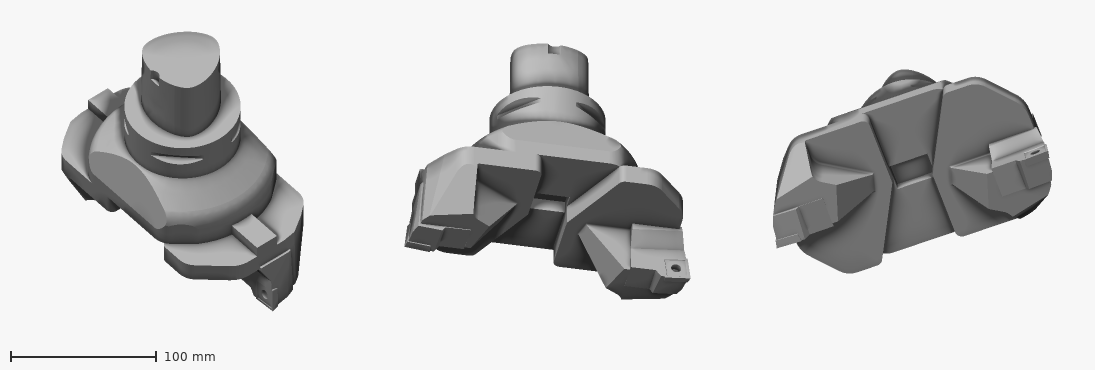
import cadquery as cq
import math


SHANK_TOP = 118.0
NECK_TOP = 70.0
NECK_BOTTOM = 40.0
NECK_RADIUS = 40.0
HOUSING_RADIUS = 64.8
CONE_ANGLE = 35.8
EDGE_RADIUS = 15.0
HALF_WIDTH = 52.0
SIDE_SLOPE = 20.0
SIDE_SLOPE_START = 10.4
CORNER_ANGLE = 40.0
CORNER_FLAT_DISTANCE = 64.0

SHANK_RADIUS_BOTTOM = 27.4
SHANK_RADIUS_TOP = 26.8
SHANK_LOBE = 2.1
LOBE_COUNT = 3
LOBE_TIP_HALF_ANGLE = 34.0
CURVE_STEPS = 8
SHANK_NOTCH_RADIUS = 5.4
SHANK_NOTCH_DEPTH = 8.4
SHANK_NOTCH_CENTER_Y = -27.4

GROOVE_Z = 58.2
GROOVE_FLOOR_WIDTH = 3.4
GROOVE_MOUTH_WIDTH = 8.5
GROOVE_FLOOR_DISTANCE = 35.5
GROOVE_COUNT = 4

KEY_WIDTH = 17.5
KEY_HEIGHT = 8.5
KEYWAY_HEIGHT = 9.0
PLATE_THICKNESS = 14.0
SLIDE_INNER_X = 14.0
SLIDE_OUTER_X = 91.2
SLIDE_CORNER_RADIUS = 15.0
OUTER_CORNER_RADIUS = 20.0
INNER_CORNER_RADIUS = 5.0
CORNER_CHAMFER_ANGLE = 41.5
FRONT_CHAMFER_DISTANCE = 84.0
BACK_CHAMFER_DISTANCE = 86.2
INNER_SLANT_Y = 2.0
INNER_SLANT_END_X = 41.5
WEB_FRONT_Y = 1.0
WEB_BLANK_DEPTH = 40.0
WEB_INNER_X = 18.0
WEB_STEP_X = 59.8
WEB_STEP_Y = 34.8
WEB_STEP_RADIUS = 10.0
WEB_BACK_ANGLE = 32.0
WEB_ROOT_RADIUS = 1.4
WEB_BOTTOM_Z = -48.4
WEB_BOTTOM_RISE = 0.045
SELECT_MARGIN = 0.2
WEB_INNER_FACE = ((28.2, WEB_FRONT_Y, -15.4), (-0.75, -0.21, -0.59))
SLIDE_END_FACE = ((SLIDE_OUTER_X, 15.0, 0), (0.987, 0.161, 0.062))
SLIDE_BLEND_FACE = ((89.4, 26.0, 0), (0.824, 0.566, 0.035))
LOWER_BACK_FACE = ((89.2, 30.0, -47.2), (0.238, 0.971, -0.478))

CARTRIDGE_INNER_X = 58.2
CARTRIDGE_FRONT_Y = -6.4
CARTRIDGE_BACK_Y = 20.4
CARTRIDGE_TOP_Z = -12.0
CARTRIDGE_BOTTOM_Z = -48.0
NOSE_START_X = 75.5
NOSE_X = 79.2
NOSE_Z = -52.8
NOSE_RISE = 0.09
GULLET_BOTTOM = 16.2
GULLET_TOP = 28.2

UPPER_SLOPE_FACE = ((96.5, -0.8, -30.5), (1, 0, 0.2))
MAIN_RELIEF_FACE = ((96.5, -0.8, -30.5), (1, 0.1, 0.1))
BACK_RELIEF_FACE = ((93.2, 17.5, CARTRIDGE_TOP_Z), (1, 0.35, 0.065))
NOSE_FACE = ((NOSE_X, 0, NOSE_Z), (NOSE_RISE, NOSE_RISE, -1))

INSERT_SIZE = 18.2
INSERT_THICKNESS = 5.4
INSERT_CENTER = (90.0, -1.4, -43.8)
INSERT_TILT = 6.0
RAKE_SLOPE = 0.075
RELIEF_ANGLE = 11.0
INSERT_CORNER_RADIUS = 1.0
INSERT_HOLE_DIAMETER = 7.0
CHIPBREAKER_SIZE = 15.0
CHIPBREAKER_DEPTH = 0.4

FAR = 200.0


def unit(angle):
    """Unit direction in the XY plane at an angle in degrees."""
    return math.cos(math.radians(angle)), math.sin(math.radians(angle))


def beyond(point, normal):
    """Everything on the far side of a plane, as a large block to cut with."""
    plane = cq.Plane(origin=point, normal=normal)
    return cq.Workplane(plane).rect(2 * FAR, 2 * FAR).extrude(FAR)


def place(body, angle):
    """Turn a body about the tool axis."""
    return body.rotate((0, 0, 0), (0, 0, 1), angle)


def round_edge(body, point, radius):
    """Fillet the vertical edge at an XY point."""
    middle_z = body.val().Center().z
    nearest = cq.selectors.NearestToPointSelector((*point, middle_z))
    return body.edges("|Z").edges(nearest).fillet(radius)


def meet(angle, distance, x=None, y=None):
    """Point where the line at `distance` along `angle` from the axis has the given X or Y."""
    c, s = unit(angle)
    if y is None:
        return x, (distance - x * c) / s
    return (distance - y * s) / c, y


def shank_point(mean_radius, angle):
    """Point of the three-lobed profile whose outward normal has the given angle."""
    phase = math.radians(LOBE_COUNT * (angle - 90.0))
    reach = mean_radius + SHANK_LOBE * math.cos(phase)
    slide = -LOBE_COUNT * SHANK_LOBE * math.sin(phase)
    c, s = unit(angle)
    return reach * c - slide * s, reach * s + slide * c


def shank_profile(workplane, mean_radius):
    """Closed profile of alternating tip and flank curves."""
    pitch = 360.0 / LOBE_COUNT
    start = 90.0 - LOBE_TIP_HALF_ANGLE
    profile = workplane.moveTo(*shank_point(mean_radius, start))
    for _ in range(LOBE_COUNT):
        for span in (2 * LOBE_TIP_HALF_ANGLE, pitch - 2 * LOBE_TIP_HALF_ANGLE):
            angles = [start + span * i / CURVE_STEPS for i in range(1, CURVE_STEPS + 1)]
            points = [shank_point(mean_radius, angle) for angle in angles]
            profile = profile.spline(points, includeCurrent=True)
            start += span
    return profile.close()


def make_shank():
    lower = shank_profile(cq.Workplane().workplane(offset=NECK_TOP), SHANK_RADIUS_BOTTOM)
    shank = shank_profile(lower.workplane(offset=SHANK_TOP - NECK_TOP), SHANK_RADIUS_TOP).loft(ruled=True)
    notch = (
        cq.Workplane()
        .workplane(offset=SHANK_TOP - SHANK_NOTCH_DEPTH)
        .center(0, SHANK_NOTCH_CENTER_Y)
        .circle(SHANK_NOTCH_RADIUS)
        .extrude(FAR)
    )
    return shank.cut(notch)


def make_housing_blank():
    """Cone and rounded rim, turned about the tool axis."""
    cone_slope = math.tan(math.radians(CONE_ANGLE))
    rim_z = NECK_BOTTOM - (HOUSING_RADIUS - NECK_RADIUS) * cone_slope
    turn = math.radians(90.0 - CONE_ANGLE)
    setback = EDGE_RADIUS * math.tan(turn / 2)
    arc_top = (
        HOUSING_RADIUS - setback * math.cos(math.radians(CONE_ANGLE)),
        rim_z + setback * math.sin(math.radians(CONE_ANGLE)),
    )
    arc_bottom_z = rim_z - setback
    arc_middle = (
        HOUSING_RADIUS - EDGE_RADIUS * (1 - math.cos(turn / 2)),
        arc_bottom_z + EDGE_RADIUS * math.sin(turn / 2),
    )
    return (
        cq.Workplane("XZ")
        .moveTo(0, 0)
        .lineTo(HOUSING_RADIUS, 0)
        .lineTo(HOUSING_RADIUS, arc_bottom_z)
        .threePointArc(arc_middle, arc_top)
        .lineTo(NECK_RADIUS, NECK_BOTTOM)
        .lineTo(0, NECK_BOTTOM)
        .close()
        .revolve()
    )


def make_housing_outline():
    """Plan outline with flat sides, flat corners and round ends."""
    flat_edge = meet(CORNER_ANGLE, CORNER_FLAT_DISTANCE, y=HALF_WIDTH)
    half_chord = math.sqrt(HOUSING_RADIUS**2 - CORNER_FLAT_DISTANCE**2)
    c, s = unit(CORNER_ANGLE)
    end_x = CORNER_FLAT_DISTANCE * c + half_chord * s
    end_y = CORNER_FLAT_DISTANCE * s - half_chord * c
    edge_x = flat_edge[0]
    return (
        cq.Workplane()
        .moveTo(-edge_x, HALF_WIDTH)
        .lineTo(edge_x, HALF_WIDTH)
        .lineTo(end_x, end_y)
        .threePointArc((HOUSING_RADIUS, 0), (end_x, -end_y))
        .lineTo(edge_x, -HALF_WIDTH)
        .lineTo(-edge_x, -HALF_WIDTH)
        .lineTo(-end_x, -end_y)
        .threePointArc((-HOUSING_RADIUS, 0), (-end_x, end_y))
        .close()
        .extrude(NECK_BOTTOM)
        .edges("|Z")
        .fillet(EDGE_RADIUS)
    )


def make_groove():
    """Tapered straight groove across the -X side of the neck."""
    return (
        cq.Workplane("XZ")
        .moveTo(-GROOVE_FLOOR_DISTANCE, GROOVE_Z - GROOVE_FLOOR_WIDTH / 2)
        .lineTo(-GROOVE_FLOOR_DISTANCE, GROOVE_Z + GROOVE_FLOOR_WIDTH / 2)
        .lineTo(-NECK_RADIUS, GROOVE_Z + GROOVE_MOUTH_WIDTH / 2)
        .lineTo(-NECK_RADIUS, GROOVE_Z - GROOVE_MOUTH_WIDTH / 2)
        .close()
        .extrude(NECK_RADIUS, both=True)
    )


def make_housing():
    housing = make_housing_blank().intersect(make_housing_outline())
    slope = math.radians(SIDE_SLOPE)
    for side in (-1, 1):
        start = (0, side * HALF_WIDTH, SIDE_SLOPE_START)
        housing = housing.cut(beyond(start, (0, side * math.cos(slope), math.sin(slope))))
    neck = cq.Workplane().workplane(offset=NECK_BOTTOM).circle(NECK_RADIUS).extrude(NECK_TOP - NECK_BOTTOM)
    for i in range(GROOVE_COUNT):
        neck = neck.cut(place(make_groove(), 360.0 / GROOVE_COUNT * (i + 0.5)))
    keyway = cq.Workplane().rect(FAR, KEY_WIDTH).extrude(KEYWAY_HEIGHT)
    return housing.cut(keyway).union(neck).union(make_shank())


TILT_C, TILT_S = unit(INSERT_TILT)
INSERT_ALONG = (TILT_C, 0, TILT_S)
RAKE_NORMAL = (-RAKE_SLOPE * TILT_S, -1, RAKE_SLOPE * TILT_C)
RAKE_PLANE = cq.Plane(origin=INSERT_CENTER, xDir=INSERT_ALONG, normal=RAKE_NORMAL)


def make_insert_blank():
    """Square insert tapering back from its rake face."""
    shrink = 2 * INSERT_THICKNESS * math.tan(math.radians(RELIEF_ANGLE))
    face = cq.Sketch().rect(INSERT_SIZE, INSERT_SIZE).vertices(">Y").fillet(INSERT_CORNER_RADIUS)
    back_size = INSERT_SIZE - shrink
    back = cq.Sketch().rect(back_size, back_size).vertices(">Y").fillet(INSERT_CORNER_RADIUS)
    back_place = cq.Location(cq.Vector(0, 0, -INSERT_THICKNESS))
    return cq.Workplane(RAKE_PLANE).placeSketch(face, back.moved(back_place)).loft()


def make_insert():
    floor_size = CHIPBREAKER_SIZE - 2 * CHIPBREAKER_DEPTH
    mouth = cq.Sketch().rect(CHIPBREAKER_SIZE, CHIPBREAKER_SIZE)
    floor = cq.Sketch().rect(floor_size, floor_size)
    floor_place = cq.Location(cq.Vector(0, 0, -CHIPBREAKER_DEPTH))
    recess = cq.Workplane(RAKE_PLANE).placeSketch(mouth, floor.moved(floor_place)).loft()
    hole = cq.Workplane(RAKE_PLANE).circle(INSERT_HOLE_DIAMETER / 2).extrude(INSERT_THICKNESS, both=True)
    return make_insert_blank().cut(recess).cut(hole)


def make_gullet():
    """Space in front of the cartridge: the rake face, and a slope out to the front face."""
    plane = cq.Plane(origin=INSERT_CENTER, xDir=(0, 1, 0), normal=INSERT_ALONG)
    rake_y = RAKE_SLOPE * GULLET_BOTTOM
    front_y = CARTRIDGE_FRONT_Y - INSERT_CENTER[1]
    low = -GULLET_TOP
    return (
        cq.Workplane(plane)
        .moveTo(RAKE_SLOPE * low, low)
        .lineTo(rake_y, GULLET_BOTTOM)
        .lineTo(front_y, GULLET_TOP)
        .lineTo(-FAR, GULLET_TOP)
        .lineTo(-FAR, low)
        .close()
        .extrude(FAR, both=True)
    )


def make_cartridge():
    block = (
        cq.Workplane("XZ", origin=(0, CARTRIDGE_FRONT_Y, 0))
        .moveTo(CARTRIDGE_INNER_X, CARTRIDGE_TOP_Z)
        .lineTo(CARTRIDGE_INNER_X, CARTRIDGE_BOTTOM_Z)
        .lineTo(NOSE_START_X, CARTRIDGE_BOTTOM_Z)
        .lineTo(NOSE_X, NOSE_Z)
        .lineTo(FAR, NOSE_Z)
        .lineTo(FAR, CARTRIDGE_TOP_Z)
        .close()
        .extrude(CARTRIDGE_FRONT_Y - CARTRIDGE_BACK_Y)
    )
    for point, normal in (UPPER_SLOPE_FACE, MAIN_RELIEF_FACE, BACK_RELIEF_FACE, NOSE_FACE):
        block = block.cut(beyond(point, normal))
    return block.cut(make_gullet()).cut(make_insert_blank())


def make_plate():
    front_corner = meet(-CORNER_CHAMFER_ANGLE, FRONT_CHAMFER_DISTANCE, x=SLIDE_OUTER_X)
    front_edge = meet(-CORNER_CHAMFER_ANGLE, FRONT_CHAMFER_DISTANCE, y=-HALF_WIDTH)
    back_edge = meet(CORNER_CHAMFER_ANGLE, BACK_CHAMFER_DISTANCE, y=HALF_WIDTH)
    back_corner = meet(CORNER_CHAMFER_ANGLE, BACK_CHAMFER_DISTANCE, x=SLIDE_OUTER_X)
    plate = (
        cq.Workplane()
        .moveTo(SLIDE_INNER_X, HALF_WIDTH)
        .lineTo(SLIDE_INNER_X, INNER_SLANT_Y)
        .lineTo(INNER_SLANT_END_X, -HALF_WIDTH)
        .lineTo(*front_edge)
        .lineTo(*front_corner)
        .lineTo(*back_corner)
        .lineTo(*back_edge)
        .close()
        .extrude(-PLATE_THICKNESS)
    )
    plate = round_edge(plate, (SLIDE_INNER_X, HALF_WIDTH), INNER_CORNER_RADIUS)
    plate = round_edge(plate, (INNER_SLANT_END_X, -HALF_WIDTH), INNER_CORNER_RADIUS)
    plate = round_edge(plate, front_edge, SLIDE_CORNER_RADIUS)
    plate = round_edge(plate, front_corner, OUTER_CORNER_RADIUS)
    return round_edge(plate, back_edge, SLIDE_CORNER_RADIUS)


def make_web():
    """Leg below the plate that carries the cartridge."""
    back_edge = meet(CORNER_CHAMFER_ANGLE, BACK_CHAMFER_DISTANCE, y=HALF_WIDTH)
    outer_end = meet(CORNER_CHAMFER_ANGLE, BACK_CHAMFER_DISTANCE, y=CARTRIDGE_BACK_Y)
    back_slope = math.tan(math.radians(WEB_BACK_ANGLE))
    step_corner = (WEB_STEP_X, WEB_STEP_Y)
    web = (
        cq.Workplane()
        .workplane(offset=-PLATE_THICKNESS)
        .moveTo(WEB_INNER_X, WEB_FRONT_Y)
        .lineTo(WEB_INNER_X, WEB_STEP_Y - (WEB_STEP_X - WEB_INNER_X) * back_slope)
        .lineTo(*step_corner)
        .lineTo(WEB_STEP_X, HALF_WIDTH)
        .lineTo(*back_edge)
        .lineTo(*outer_end)
        .lineTo(outer_end[0], WEB_FRONT_Y)
        .close()
        .extrude(-WEB_BLANK_DEPTH)
    )
    web = round_edge(web, step_corner, WEB_STEP_RADIUS)
    web = round_edge(web, back_edge, SLIDE_CORNER_RADIUS)
    web = web.cut(beyond((0, 0, WEB_BOTTOM_Z), (0, WEB_BOTTOM_RISE, -1)))
    return web.cut(beyond(*WEB_INNER_FACE))


def make_slide():
    key = (
        cq.Workplane()
        .center((SLIDE_INNER_X + SLIDE_OUTER_X) / 2, 0)
        .rect(SLIDE_OUTER_X - SLIDE_INNER_X, KEY_WIDTH)
        .extrude(KEY_HEIGHT)
    )
    slide = make_plate().union(make_web())
    web_zone = cq.selectors.BoxSelector(
        (WEB_INNER_X, WEB_FRONT_Y - SELECT_MARGIN, -PLATE_THICKNESS - SELECT_MARGIN),
        (WEB_STEP_X + SELECT_MARGIN, HALF_WIDTH, -PLATE_THICKNESS + SELECT_MARGIN),
    )
    slide = slide.edges(web_zone).fillet(WEB_ROOT_RADIUS)
    slide = slide.union(key)
    for point, normal in (SLIDE_END_FACE, SLIDE_BLEND_FACE, LOWER_BACK_FACE):
        slide = slide.cut(beyond(point, normal))
    pocket = (
        cq.Workplane()
        .workplane(offset=CARTRIDGE_TOP_Z)
        .moveTo(CARTRIDGE_INNER_X, CARTRIDGE_FRONT_Y)
        .lineTo(FAR, CARTRIDGE_FRONT_Y)
        .lineTo(FAR, CARTRIDGE_BACK_Y)
        .lineTo(CARTRIDGE_INNER_X, CARTRIDGE_BACK_Y)
        .close()
        .extrude(-FAR)
    )
    return slide.cut(pocket)


housing = make_housing()
bodies = [housing.solids().val()]
for turn_angle in (0, 180):
    for make_body in (make_slide, make_cartridge, make_insert):
        bodies.append(place(make_body(), turn_angle).solids().val())

result = cq.Compound.makeCompound(bodies)